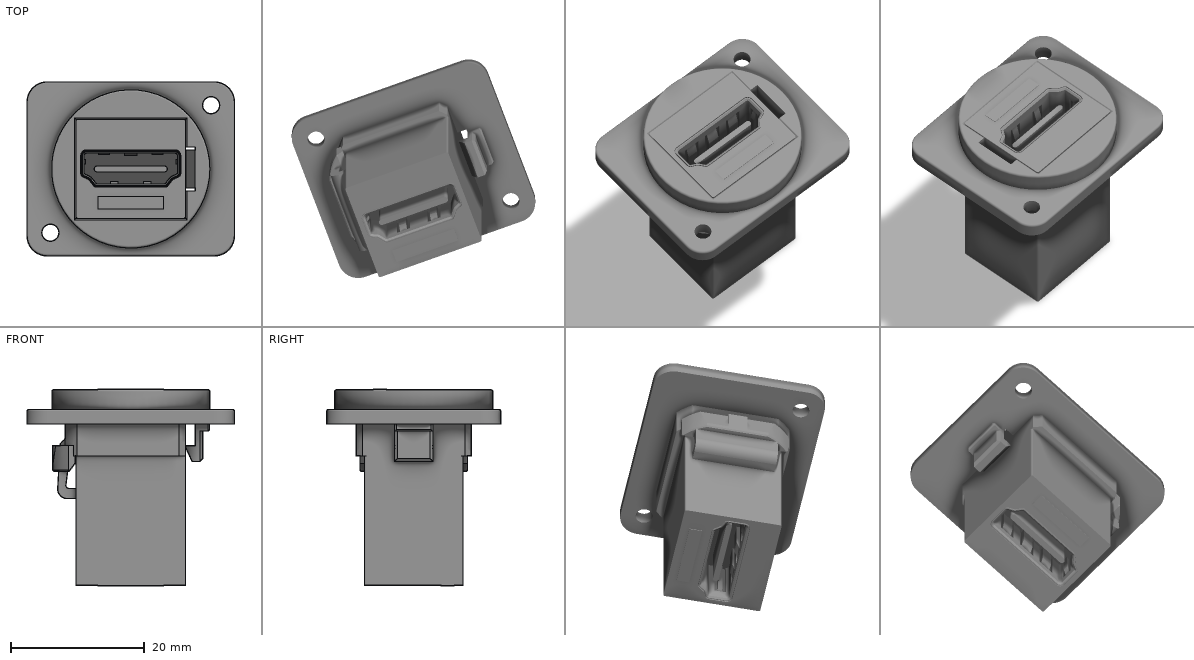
import cadquery as cq

PLATE_X, PLATE_Y, PLATE_T = 31.0, 26.0, 2.2
PLATE_CORNER_R = 3.05
HOLE_D = 2.5
HOLE_X, HOLE_Y = 12.0, 9.52
EDGE_R = 0.3

DISC_D = 23.62
FACE_Z = 5.15

BODY_R = 11.78
BODY_LEFT_X = -9.8
BODY_Y = 8.62
BODY_BOTTOM_Z = -4.75
BODY_CORNER = 0.95
STEP_X, STEP_Z = -8.55, -3.22

COUPLER_X, COUPLER_Y = 16.4, 14.75
COUPLER_BOTTOM_Z = -24.05
COUPLER_EDGE_R = 0.28
SEAM = 0.22

SOCKET_DEPTH = 7.75
SOCKET_TOP_Y, SOCKET_BOTTOM_Y = 2.85, -2.73
SOCKET_HALF_X = 7.47
SHOULDER_X, SHOULDER_Y = 6.25, -1.58
SIDE_BOTTOM_Y = -1.02
SOCKET_FLOOR_HALF_X = 5.35
SOCKET_TOP_R, SOCKET_CORNER_R = 0.9, 0.62
SHELL_GAP, SHELL_GAP_DEPTH = 0.12, 0.3
SHELL_INSET = 0.5
SHELL_CHAMFER = 0.25
TONGUE_X, TONGUE_Y = 10.9, 0.87
TONGUE_RECESS = 2.0

SPRING_START, SPRING_RISE_LENGTH = 1.75, 2.17
WINDOW_MARGIN, WINDOW_DEPTH = 0.5, 0.3
MIDDLE_SPRING_W, MIDDLE_SPRING_H = 1.8, 0.37
TOP_SPRING_W, TOP_SPRING_H, TOP_SPRING_X = 1.67, 0.22, 4.0
FLOOR_SPRING_W, FLOOR_SPRING_H, FLOOR_SPRING_X = 1.1, 0.37, 2.45
SIDE_SPRING_W, SIDE_SPRING_H, SIDE_SPRING_Y = 0.68, 0.25, 1.05

LABEL_X, LABEL_Y, LABEL_H = 9.83, 1.92, 0.1
LABEL_CENTRE_Y = -5.05

SLOT_Y = 6.5
SLOT_END_X = 9.6
CLIP_Y = 5.7
CLIP_EDGE, CLIP_LUG_EDGE = 0.4, 0.28
CLIP_LUG_X, CLIP_LUG_Z = 11.78, -1.05
CLIP_BACK_X = 10.75
CLIP_BACK_BEVEL, CLIP_LUG_BEVEL = 0.45, 0.22
CLIP_TIP_X, CLIP_TIP_Z = 9.18, -5.6
CLIP_TOOTH_X, CLIP_TOOTH_Z = 8.25, -3.63
CLIP_ROOT = 0.3

LATCH_OUTER_X, LATCH_CORNER_X, LATCH_INNER_X = -11.65, -9.3, -8.3
LATCH_HALF_Y = 8.05
LATCH_TOP_Z, LATCH_BOTTOM_Z = STEP_Z, -7.07
LATCH_FACE_Y = 4.68
LATCH_SHOULDER_X, LATCH_SHOULDER_Y = -11.22, 5.65
LATCH_BOTTOM_CHAMFER = 0.2
LATCH_BEVEL_X, LATCH_BEVEL_Z = -9.2, -5.85
POCKET_DEPTH, POCKET_BOTTOM_Z = 0.43, -6.3
RIB_HALF_Y = 1.45
LEVER_Y = 12.45
LEVER_BOTTOM_Z, LEVER_FOOT_TOP_Z = -11.13, -9.6
LEVER_OUTER_R, LEVER_INNER_R = 1.5, 0.5
LEVER_BEND_OUTER, LEVER_BEND_INNER = (-10.9, -9.4), (-9.67, -9.15)
LEVER_FOOT_OUTER_X, LEVER_FOOT_INNER_X = -9.6, -9.2
LEVER_SHOULDER = (-10.55, -2.95)
LEVER_TOP_Z, LEVER_INNER_X, LEVER_INNER_Z = -2.17, -9.3, -6.2
LEVER_OVERLAP = 0.3


def box(x_range, y_range, z_range):
    """Axis-aligned box between the given pairs of limits."""
    (x0, x1), (y0, y1), (z0, z1) = x_range, y_range, z_range
    return cq.Workplane("XY").box(x1 - x0, y1 - y0, z1 - z0, centered=False).translate((x0, y0, z0))


def extrude_across(profile, width):
    """Closed XZ profile extruded symmetrically about Y = 0."""
    return profile.close().extrude(width / 2, both=True)


def make_flange():
    plate = cq.Workplane("XY").rect(PLATE_X, PLATE_Y).extrude(PLATE_T)
    plate = plate.edges("|Z").fillet(PLATE_CORNER_R)
    plate = plate.faces(">Z").edges().fillet(EDGE_R)
    disc = cq.Workplane("XY").circle(DISC_D / 2).extrude(FACE_Z)
    disc = disc.faces(">Z").edges().fillet(EDGE_R)
    holes = cq.Workplane("XY").pushPoints([(HOLE_X, HOLE_Y), (-HOLE_X, -HOLE_Y)])
    return plate.union(disc).cut(holes.circle(HOLE_D / 2).extrude(PLATE_T))


def make_body():
    round_body = cq.Workplane("XY").circle(BODY_R).extrude(BODY_BOTTOM_Z)
    flats = box((BODY_LEFT_X, COUPLER_X / 2), (-BODY_Y, BODY_Y), (BODY_BOTTOM_Z, 0))
    flats = flats.edges("|Z and >X").chamfer(BODY_CORNER)
    step = box((BODY_LEFT_X, STEP_X), (-BODY_Y, BODY_Y), (BODY_BOTTOM_Z, STEP_Z))
    return round_body.intersect(flats).cut(step)


def make_seam():
    """Bevelled opening in the round face around the coupler."""
    opening = cq.Workplane("XY").workplane(offset=FACE_Z)
    opening = opening.rect(COUPLER_X + 2 * SEAM, COUPLER_Y + 2 * SEAM)
    return opening.workplane(offset=-SEAM).rect(COUPLER_X, COUPLER_Y).loft(ruled=True)


def socket_prism(inset, depth):
    """Socket outline, shrunk by inset and sunk from the coupler's top face."""
    right_side = [
        (SOCKET_HALF_X, SOCKET_TOP_Y),
        (SOCKET_HALF_X, SIDE_BOTTOM_Y),
        (SHOULDER_X, SHOULDER_Y),
        (SOCKET_FLOOR_HALF_X, SOCKET_BOTTOM_Y),
    ]
    left_side = [(-x, y) for x, y in reversed(right_side)]
    prism = cq.Workplane("XY").polyline(right_side + left_side).close().extrude(0.3)
    prism = prism.edges("|Z and (not >Y)").fillet(SOCKET_CORNER_R)
    prism = prism.edges("|Z and >Y").fillet(SOCKET_TOP_R)
    outline = prism.faces("<Z").wires()
    shrunk = outline.toPending().offset2D(-inset) if inset else outline.toPending()
    return shrunk.extrude(depth, combine=False).translate((0, 0, FACE_Z - depth))


def spring_window(width, height, x, y, turn):
    """Cut for one spring: a window in the socket wall, less the wedge rising out of it.

    The pair is drawn on a wall facing +X and turned about Z to suit the actual wall.
    """
    top, bottom = FACE_Z - SPRING_START, FACE_Z - SOCKET_DEPTH
    half_window = width / 2 + WINDOW_MARGIN
    window = box((-WINDOW_DEPTH, height), (-half_window, half_window), (bottom, top))
    profile = cq.Workplane("XZ").polyline([
        (-WINDOW_DEPTH, top),
        (height, top - SPRING_RISE_LENGTH),
        (height, bottom),
        (-WINDOW_DEPTH, bottom),
    ])
    spring = extrude_across(profile, width)
    return [
        shape.rotate((0, 0, 0), (0, 0, 1), turn).translate((x, y, 0))
        for shape in (window, spring)
    ]


def add_springs(cavity):
    """Open the spring windows in the cavity walls and leave the springs standing."""
    top_wall = SOCKET_TOP_Y - SHELL_INSET
    bottom_wall = SOCKET_BOTTOM_Y + SHELL_INSET
    side_wall = SOCKET_HALF_X - SHELL_INSET
    springs = [(MIDDLE_SPRING_W, MIDDLE_SPRING_H, 0, top_wall, -90)]
    for side, inward in ((-1, 0), (1, 180)):
        springs.append((TOP_SPRING_W, TOP_SPRING_H, side * TOP_SPRING_X, top_wall, -90))
        springs.append((FLOOR_SPRING_W, FLOOR_SPRING_H, side * FLOOR_SPRING_X, bottom_wall, 90))
        springs.append((SIDE_SPRING_W, SIDE_SPRING_H, side * side_wall, SIDE_SPRING_Y, inward))
    for spring in springs:
        window, wedge = spring_window(*spring)
        cavity = cavity.union(window).cut(wedge)
    return cavity


def make_socket():
    """Material removed from one end of the coupler."""
    gap = socket_prism(0, SHELL_GAP_DEPTH).cut(socket_prism(SHELL_GAP, SHELL_GAP_DEPTH))
    cavity = add_springs(socket_prism(SHELL_INSET, SOCKET_DEPTH))
    mouth = socket_prism(SHELL_INSET - SHELL_CHAMFER, 2 * SHELL_CHAMFER)
    mouth = mouth.faces("<Z").edges().chamfer(SHELL_CHAMFER).translate((0, 0, SHELL_CHAMFER))
    tongue = cq.Workplane("XY").workplane(offset=FACE_Z - SOCKET_DEPTH).slot2D(TONGUE_X, TONGUE_Y)
    tongue = tongue.extrude(SOCKET_DEPTH - TONGUE_RECESS)
    return cavity.union(mouth).cut(tongue).union(gap)


def make_label():
    label = cq.Workplane("XY").box(LABEL_X, LABEL_Y, LABEL_H, centered=(True, True, False))
    return label.translate((0, LABEL_CENTRE_Y, FACE_Z))


def to_other_end(shape):
    """Copy of an end feature, turned about X onto the bottom of the coupler."""
    mid_z = (FACE_Z + COUPLER_BOTTOM_Z) / 2
    return shape.rotate((0, 0, mid_z), (1, 0, mid_z), 180)


def make_coupler():
    coupler = cq.Workplane("XY").workplane(offset=COUPLER_BOTTOM_Z)
    coupler = coupler.rect(COUPLER_X, COUPLER_Y).extrude(FACE_Z - COUPLER_BOTTOM_Z)
    return coupler.edges("|Z").fillet(COUPLER_EDGE_R)


def make_slot():
    return box((COUPLER_X / 2, SLOT_END_X), (-SLOT_Y / 2, SLOT_Y / 2), (0, FACE_Z))


def make_clip():
    """Hooked arm hanging from the plate, its tooth pointing at the coupler."""
    profile = cq.Workplane("XZ").polyline([
        (SLOT_END_X, CLIP_ROOT),
        (CLIP_LUG_X, CLIP_ROOT),
        (CLIP_LUG_X, CLIP_LUG_Z + CLIP_LUG_BEVEL),
        (CLIP_LUG_X - CLIP_LUG_BEVEL, CLIP_LUG_Z),
        (CLIP_BACK_X, CLIP_LUG_Z),
        (CLIP_BACK_X, CLIP_TIP_Z + CLIP_BACK_BEVEL),
        (CLIP_BACK_X - CLIP_BACK_BEVEL, CLIP_TIP_Z),
        (CLIP_TIP_X, CLIP_TIP_Z),
        (CLIP_TOOTH_X, CLIP_TOOTH_Z),
        (CLIP_TOOTH_X, STEP_Z),
        (SLOT_END_X, STEP_Z),
    ])
    clip = extrude_across(profile, CLIP_Y)
    clip = clip.edges("|Z and >X").chamfer(CLIP_LUG_EDGE)
    bevel = cq.Workplane("XY").workplane(offset=CLIP_TIP_Z)
    half_y = CLIP_Y / 2
    for side in (-1, 1):
        corner = bevel.polyline([
            (CLIP_BACK_X, side * half_y),
            (CLIP_BACK_X - CLIP_EDGE, side * half_y),
            (CLIP_BACK_X, side * (half_y - CLIP_EDGE)),
        ])
        clip = clip.cut(corner.close().extrude(CLIP_LUG_Z - CLIP_TIP_Z))
    return clip


def make_latch_block():
    block = (
        cq.Workplane("XY")
        .workplane(offset=LATCH_BOTTOM_Z)
        .moveTo(LATCH_INNER_X, -LATCH_HALF_Y)
        .lineTo(LATCH_CORNER_X, -LATCH_HALF_Y)
        .threePointArc((LATCH_SHOULDER_X, -LATCH_SHOULDER_Y), (LATCH_OUTER_X, -LATCH_FACE_Y))
        .lineTo(LATCH_OUTER_X, LATCH_FACE_Y)
        .threePointArc((LATCH_SHOULDER_X, LATCH_SHOULDER_Y), (LATCH_CORNER_X, LATCH_HALF_Y))
        .lineTo(LATCH_INNER_X, LATCH_HALF_Y)
        .close()
        .extrude(LATCH_TOP_Z - LATCH_BOTTOM_Z)
    )
    block = block.faces("<Z").edges().chamfer(LATCH_BOTTOM_CHAMFER)
    side_profile = cq.Workplane("XZ").polyline([
        (LATCH_OUTER_X, LATCH_TOP_Z),
        (STEP_X, LATCH_TOP_Z),
        (LATCH_INNER_X, BODY_BOTTOM_Z),
        (LATCH_INNER_X, LATCH_BEVEL_Z),
        (LATCH_BEVEL_X, LATCH_BOTTOM_Z),
        (LATCH_OUTER_X, LATCH_BOTTOM_Z),
    ])
    block = block.intersect(extrude_across(side_profile, 2 * LATCH_HALF_Y))
    return block.cut(make_pockets())


def make_pockets():
    """Sloping recesses in the latch's outer face, deepest at the top, either side of a rib."""
    wedge = cq.Workplane("XZ").polyline([
        (LATCH_OUTER_X, POCKET_BOTTOM_Z),
        (LATCH_OUTER_X + POCKET_DEPTH, LATCH_TOP_Z),
        (LATCH_OUTER_X, LATCH_TOP_Z),
    ])
    pockets = extrude_across(wedge, 2 * LATCH_HALF_Y)
    rib = box(
        (LATCH_OUTER_X, LATCH_OUTER_X + POCKET_DEPTH),
        (-RIB_HALF_Y, RIB_HALF_Y),
        (POCKET_BOTTOM_Z, LATCH_TOP_Z),
    )
    return pockets.cut(rib)


def make_lever():
    """Bent strip rising from the coupler wall through the latch block."""
    inside_x = LEVER_OVERLAP - COUPLER_X / 2
    profile = (
        cq.Workplane("XZ")
        .moveTo(inside_x, LEVER_BOTTOM_Z)
        .lineTo(LEVER_FOOT_OUTER_X, LEVER_BOTTOM_Z)
        .radiusArc(LEVER_BEND_OUTER, LEVER_OUTER_R)
        .lineTo(*LEVER_SHOULDER)
        .lineTo(BODY_LEFT_X, LEVER_TOP_Z)
        .lineTo(LEVER_INNER_X, LEVER_TOP_Z)
        .lineTo(LEVER_INNER_X, LEVER_INNER_Z)
        .lineTo(*LEVER_BEND_INNER)
        .radiusArc((LEVER_FOOT_INNER_X, LEVER_FOOT_TOP_Z), -LEVER_INNER_R)
        .lineTo(inside_x, LEVER_FOOT_TOP_Z)
    )
    return extrude_across(profile, LEVER_Y)


coupler = make_coupler()
housing = make_flange().union(make_body()).cut(make_seam()).cut(make_slot())
result = housing.union(coupler)
for feature in (make_clip(), make_latch_block(), make_lever()):
    result = result.union(feature)
socket = make_socket()
label = make_label()
for end_socket in (socket, to_other_end(socket)):
    result = result.cut(end_socket)
for end_label in (label, to_other_end(label)):
    result = result.union(end_label)